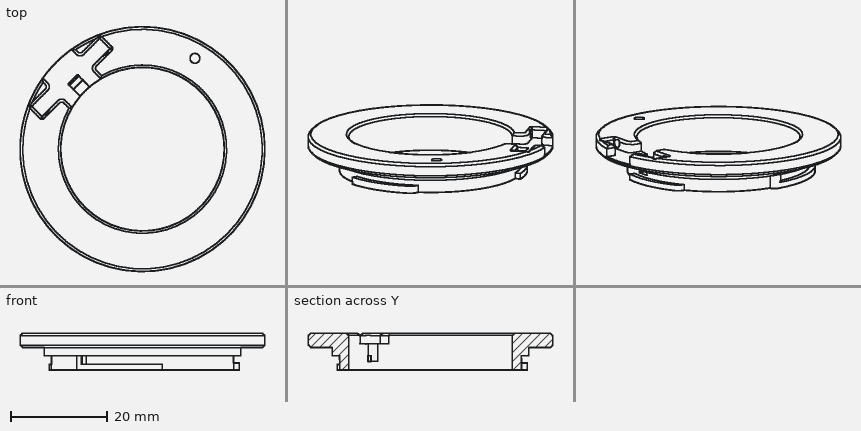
import cadquery as cq
import math

total_height = 7.75
flange_bottom = 4.7
step_bottom = 3.0

flange_radius = 25.5
step_radius = 20.5
neck_radius = 19.0
tab_radius = 20.2
bore_radius = 34.0 / 2
edge_chamfer = 0.55
bore_chamfer = 0.5

tabs = [
    (3.0, 43.0, 1.55),
    (124.6, 163.4, 1.2),
    (229.0, 276.7, 1.2),
]
tab_end_radius = 2.05

stop_start = 228.6
stop_end = 230.8
stop_round_radius = 1.05

pocket_angle = 135.0
pocket_depth = 2.25
pocket_chamfer = 0.55
channel_half_width = 4.25
arm_inner = 19.6
arm_outer = 22.6
arm_half_length = 10.0
pocket_corner_radius = 1.0
channel_start = 12.75
channel_end = 30.6

slot_width = 2.75
slot_end = 20.5
slot_floor = 1.85

detent_radius = 1.0
wall_detent_offset = 8.75
wall_detent_depth = 0.55
wall_detent_drop = 1.0
top_dimple_distance = 21.85
top_dimple_angle = 60.0


def polar(radius, angle):
    a = math.radians(angle)
    return (radius * math.cos(a), radius * math.sin(a))


def disc(radius, bottom, top):
    return cq.Workplane("XY").workplane(offset=bottom).circle(radius).extrude(top - bottom)


def sector(radius, start, end, height):
    """Pie slice from the axis out to the given radius, standing on the bottom face."""
    return (
        cq.Workplane("XY")
        .moveTo(0, 0)
        .lineTo(*polar(radius, start))
        .threePointArc(polar(radius, (start + end) / 2), polar(radius, end))
        .close()
        .extrude(height)
    )


def rounded_end(angle, round_radius, height):
    """Cylinder tangent to the tab's outer surface, rounding off the tab's end."""
    center = polar(tab_radius - round_radius, angle)
    return cq.Workplane("XY").center(*center).circle(round_radius).extrude(height)


def ring_blank():
    flange = disc(flange_radius, flange_bottom, total_height).edges().chamfer(edge_chamfer)
    body = flange.union(disc(step_radius, step_bottom, flange_bottom))
    return body.union(disc(neck_radius, 0, step_bottom))


def add_bayonet(body):
    for start, end, height in tabs:
        body = body.union(sector(tab_radius, start, end, height))
        body = body.union(rounded_end(end, tab_end_radius, height))
    body = body.union(sector(tab_radius, stop_start, stop_end, step_bottom))
    return body.union(rounded_end(stop_start, stop_round_radius, step_bottom))


def cut_bore(body):
    body = body.cut(disc(bore_radius, 0, total_height))
    mouth = cq.Solid.makeCone(
        bore_radius,
        bore_radius + bore_chamfer,
        bore_chamfer,
        pnt=cq.Vector(0, 0, total_height - bore_chamfer),
    )
    return body.cut(cq.Workplane(mouth))


def cross(bottom):
    """Outline of the pocket at the given height, with sharp corners."""
    half = channel_half_width
    length = arm_half_length
    inner = arm_inner
    outer = arm_outer
    points = [
        (channel_start, -half), (inner, -half), (inner, -length), (outer, -length),
        (outer, -half), (channel_end, -half), (channel_end, half), (outer, half),
        (outer, length), (inner, length), (inner, half), (channel_start, half),
    ]
    return cq.Workplane("XY").workplane(offset=bottom).polyline(points).close()


def round_inner_corners(cutter):
    """Round the four edges where the arms meet the radial channel."""
    corners = cq.selectors.BoxSelector(
        (arm_inner - 2 * pocket_chamfer, -channel_half_width - 2 * pocket_chamfer, 0),
        (arm_outer + 2 * pocket_chamfer, channel_half_width + 2 * pocket_chamfer, 2 * total_height),
    )
    return cutter.edges("not(#Z)").edges(corners).fillet(pocket_corner_radius)


def cut_pocket(body):
    chamfer_bottom = total_height - pocket_chamfer
    pocket = cross(total_height - pocket_depth).extrude(pocket_depth)
    flare = cross(chamfer_bottom).extrude(pocket_chamfer, taper=-45)
    for cutter in (pocket, flare):
        rounded = round_inner_corners(cutter)
        body = body.cut(rounded.rotate((0, 0, 0), (0, 0, 1), pocket_angle))
    return body


def cut_slot(body):
    slot = cq.Workplane("XY").box(
        slot_end, slot_width, total_height - slot_floor, centered=(False, True, False)
    )
    slot = slot.translate((0, 0, slot_floor))
    return body.cut(slot.rotate((0, 0, 0), (0, 0, 1), pocket_angle))


def cut_dimples(body):
    ball = cq.Workplane("XY").sphere(detent_radius)
    wall_detent_height = total_height - wall_detent_drop
    for side in (-1, 1):
        center = (
            arm_inner + detent_radius - wall_detent_depth,
            side * wall_detent_offset,
            wall_detent_height,
        )
        body = body.cut(ball.translate(center).rotate((0, 0, 0), (0, 0, 1), pocket_angle))
    top_center = polar(top_dimple_distance, top_dimple_angle)
    return body.cut(ball.translate((*top_center, total_height)))


result = cut_dimples(cut_slot(cut_pocket(cut_bore(add_bayonet(ring_blank())))))